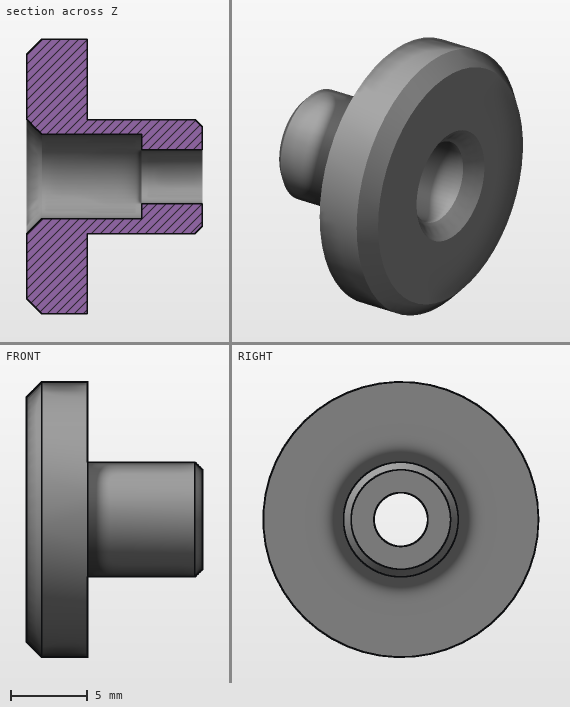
import cadquery as cq

flange_diameter = 18.0
flange_thickness = 4.0
flange_chamfer = 1.0

shank_diameter = 7.5
shank_length = 7.5
shank_chamfer = 0.5

through_hole_diameter = 3.5
counterbore_diameter = 5.5
counterbore_chamfer = 1.0
floor_thickness = 4.0

overall_length = flange_thickness + shank_length
counterbore_depth = overall_length - floor_thickness


def cylinder_along_x(diameter, start, length):
    """Solid cylinder on the X axis, running towards +X from start."""
    return cq.Workplane("YZ", origin=(start, 0, 0)).circle(diameter / 2).extrude(length)


def make_flange():
    flange = cylinder_along_x(flange_diameter, 0, flange_thickness)
    return flange.faces("<X").chamfer(flange_chamfer)


def make_shank():
    shank = cylinder_along_x(shank_diameter, flange_thickness, shank_length)
    return shank.faces(">X").chamfer(shank_chamfer)


def make_counterbore_entry():
    """Cone that widens the counterbore at 45 degrees towards the flange face."""
    bore_radius = counterbore_diameter / 2
    mouth_radius = bore_radius + counterbore_chamfer
    mouth_centre = cq.Vector(0, 0, 0)
    inward = cq.Vector(1, 0, 0)
    cone = cq.Solid.makeCone(mouth_radius, bore_radius, counterbore_chamfer, mouth_centre, inward)
    return cq.Workplane(cone)


def make_stepped_bore():
    through_hole = cylinder_along_x(through_hole_diameter, 0, overall_length)
    counterbore = cylinder_along_x(counterbore_diameter, 0, counterbore_depth)
    return through_hole.union(counterbore).union(make_counterbore_entry())


result = make_flange().union(make_shank()).cut(make_stepped_bore())